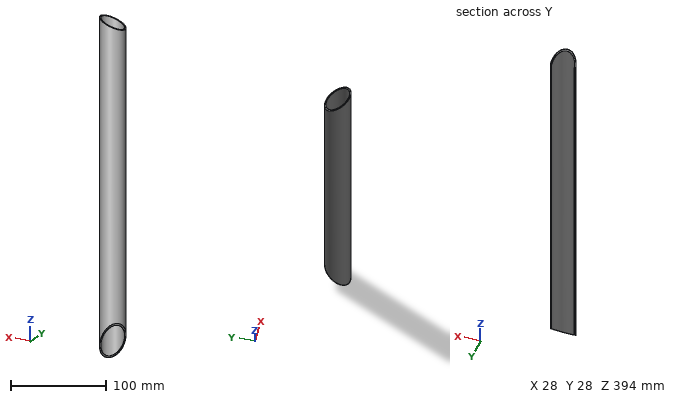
import cadquery as cq

length = 394.0
outer_diameter = 28.0
wall = 1.5

outer_radius = outer_diameter / 2
inner_radius = outer_radius - wall
half_length = length / 2
short_half_length = half_length - outer_diameter

tube = (
    cq.Workplane("XY")
    .circle(outer_radius)
    .circle(inner_radius)
    .extrude(half_length, both=True)
)

mitre_envelope = (
    cq.Workplane("YZ")
    .moveTo(-outer_radius, -half_length)
    .lineTo(outer_radius, -short_half_length)
    .lineTo(outer_radius, short_half_length)
    .lineTo(-outer_radius, half_length)
    .close()
    .extrude(outer_diameter, both=True)
)

result = tube.intersect(mitre_envelope)